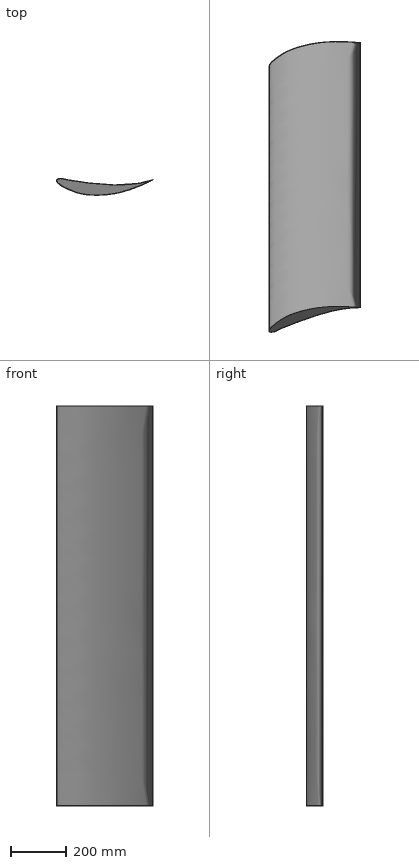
import cadquery as cq

span = 1450.0
chord = 350.0
depth = 61.0

nose_height = 55.0
trailing_edge = (chord, 57.0)
leading_edge = (0.0, nose_height)

hollow_side = [
    (299.0, 44.0),
    (210.0, 38.0),
    (116.0, 45.0),
    (32.0, 58.0),
    (12.0, depth),
]

bulged_side = [
    (6.0, 44.0),
    (22.0, 32.0),
    (75.0, 9.0),
    (145.0, 0.0),
    (225.0, 9.0),
    (307.0, 36.0),
]

section_curve = hollow_side + [leading_edge] + bulged_side + [trailing_edge]

section = cq.Workplane("XY").moveTo(*trailing_edge).spline(section_curve, includeCurrent=True)

result = section.wire().extrude(span)